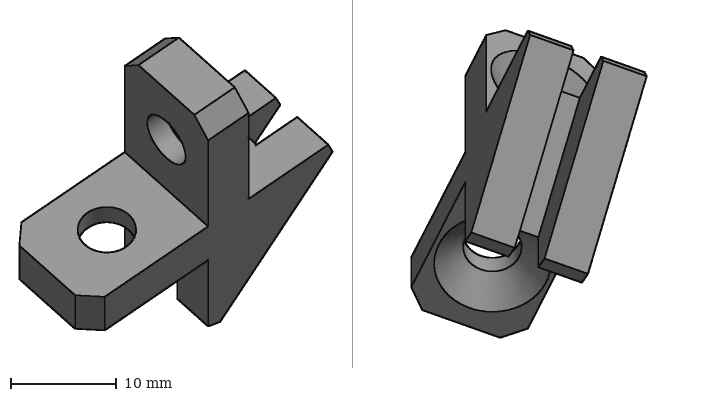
import cadquery as cq

width = 12.0
tip = 15.3

plate_thickness = 5.08
plate_face = -0.35
plate_back = plate_face + plate_thickness
corner_chamfer = 2.0

brace_edge = 14.75
brace_tip_drop = 1.15

slot_width = 3.05
slot_reach = 9.65

hole_diameter = 5.5
hole_distance = 7.8
sink_diameter = 11.0


def profile_block(points, depth):
    """Extrude a YZ outline by depth, centred on X = 0."""
    return cq.Workplane("YZ").polyline(points).close().extrude(depth / 2, both=True)


def mirrored(point):
    """Reflect a YZ point in the plane y = -z."""
    y, z = point
    return (-z, -y)


def upright():
    """Vertical plate with two chamfered top corners, reaching down through the shelf."""
    height = tip + plate_back
    plate = cq.Workplane("XY").box(width, plate_thickness, height, centered=(True, False, False))
    plate = plate.translate((0, plate_face, -plate_back))
    return plate.edges("|Y and >Z").chamfer(corner_chamfer)


def bolt_cutter():
    """Bolt hole through the upright, countersunk at 90 degrees from the back."""
    sink_radius = sink_diameter / 2
    hole = cq.Solid.makeCylinder(
        hole_diameter / 2, plate_thickness, cq.Vector(0, plate_face, hole_distance), cq.Vector(0, 1, 0)
    )
    sink = cq.Solid.makeCone(
        sink_radius, 0, sink_radius, cq.Vector(0, plate_back, hole_distance), cq.Vector(0, -1, 0)
    )
    return cq.Workplane(hole).union(cq.Workplane(sink))


def shelf_copy(shape):
    """Mirror a shape of the upright in the plane y = -z to give its twin on the shelf."""
    return shape.rotate((0, 0, 0), (1, 0, 0), 90).mirror("XY")


def brace():
    """Triangular block with blunted tips that fills the outside of the corner."""
    upper = [(plate_face, -plate_face), (brace_edge, -plate_face), (tip, -brace_tip_drop)]
    lower = [mirrored(point) for point in reversed(upper[1:])]
    return profile_block(upper + lower, width)


def brace_slot():
    """Open slot with its floor parallel to the sloping face, running well past that face."""
    inner = (slot_reach, -plate_face)
    outer = (slot_reach + tip, -plate_face)
    return profile_block([inner, outer, mirrored(outer), mirrored(inner)], slot_width)


result = brace().union(upright()).union(shelf_copy(upright()))
result = result.cut(brace_slot())
result = result.cut(bolt_cutter()).cut(shelf_copy(bolt_cutter()))